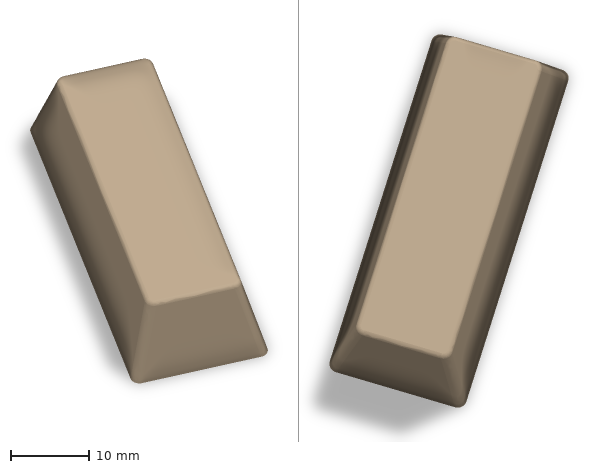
import cadquery as cq
import math

length = 46.9
width = 18.3
height = 11.4
draft_angle = 14.0
corner_radius = 1.2
rim_radius = 0.6

inset = height * math.tan(math.radians(draft_angle))
block = (
    cq.Workplane("XY")
    .rect(length, width)
    .workplane(offset=height)
    .rect(length - 2 * inset, width - 2 * inset)
    .loft()
)

rounded_block = block.edges("not(#Z)").fillet(corner_radius)

result = rounded_block.faces(">Z").edges().fillet(rim_radius)